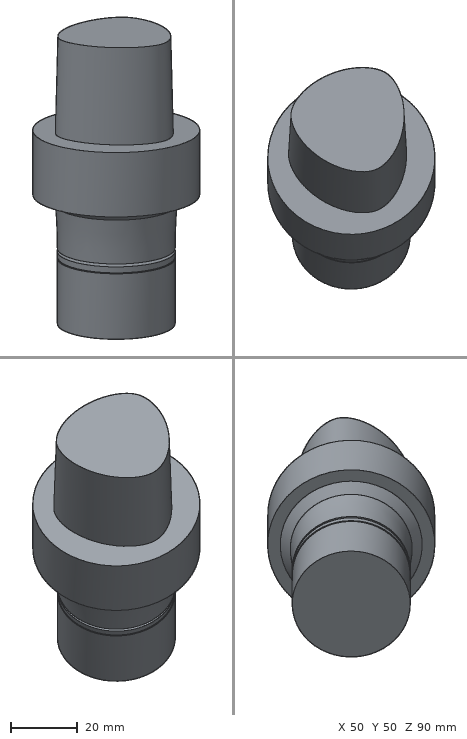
import cadquery as cq
import math

TOTAL_HEIGHT = 90.0
COLLAR_TOP = 60.0
COLLAR_BOTTOM = 40.05
CONE_BOTTOM = 37.2
GROOVE_TOP = 23.4
GROOVE_BOTTOM = 22.5
LINE_GROOVE_TOP = 20.6
LINE_GROOVE_BOTTOM = 20.3

COLLAR_DIAMETER = 49.95
CONE_TOP_DIAMETER = 42.4
NECK_TOP_DIAMETER = 36.45
NECK_MIDDLE_DIAMETER = 35.55
BASE_DIAMETER = 35.3
LINE_GROOVE_DIAMETER = 35.0
GROOVE_DIAMETER = 27.4

SHANK_WIDTH = 35.3
SHANK_TAPER = 1 / 20
LOBE_OFFSET = 1.2
LOBES = 3
OUTLINE_POINTS = 48

NECK_MIDDLE = (CONE_BOTTOM + GROOVE_TOP) / 2
SHANK_LENGTH = TOTAL_HEIGHT - COLLAR_TOP
SHANK_TIP_WIDTH = SHANK_WIDTH - SHANK_TAPER * SHANK_LENGTH


def make_body():
    """Revolve the round base, grooved neck and collar."""
    return (
        cq.Workplane("XZ")
        .moveTo(0, 0)
        .lineTo(BASE_DIAMETER / 2, 0)
        .lineTo(BASE_DIAMETER / 2, LINE_GROOVE_BOTTOM)
        .lineTo(LINE_GROOVE_DIAMETER / 2, LINE_GROOVE_BOTTOM)
        .lineTo(LINE_GROOVE_DIAMETER / 2, LINE_GROOVE_TOP)
        .lineTo(BASE_DIAMETER / 2, LINE_GROOVE_TOP)
        .lineTo(BASE_DIAMETER / 2, GROOVE_BOTTOM)
        .lineTo(GROOVE_DIAMETER / 2, GROOVE_BOTTOM)
        .lineTo(GROOVE_DIAMETER / 2, GROOVE_TOP)
        .lineTo(BASE_DIAMETER / 2, GROOVE_TOP)
        .threePointArc((NECK_MIDDLE_DIAMETER / 2, NECK_MIDDLE), (NECK_TOP_DIAMETER / 2, CONE_BOTTOM))
        .lineTo(CONE_TOP_DIAMETER / 2, COLLAR_BOTTOM)
        .lineTo(COLLAR_DIAMETER / 2, COLLAR_BOTTOM)
        .lineTo(COLLAR_DIAMETER / 2, COLLAR_TOP)
        .lineTo(0, COLLAR_TOP)
        .close()
        .revolve(360, (0, 0), (0, 1))
    )


def lobed_point(width, index):
    """Point whose tangent lies width / 2 + LOBE_OFFSET * cos(3 * angle) from the axis."""
    angle = 2 * math.pi * index / OUTLINE_POINTS
    distance = width / 2 + LOBE_OFFSET * math.cos(LOBES * angle)
    slope = -LOBES * LOBE_OFFSET * math.sin(LOBES * angle)
    along_lobe = distance * math.cos(angle) - slope * math.sin(angle)
    across_lobe = distance * math.sin(angle) + slope * math.cos(angle)
    return across_lobe, -along_lobe


def lobed_outline(width):
    return [lobed_point(width, index) for index in range(OUTLINE_POINTS)]


def make_shank():
    """Loft the tapered three-lobed shank upward from the collar."""
    return (
        cq.Workplane("XY", origin=(0, 0, COLLAR_TOP))
        .spline(lobed_outline(SHANK_WIDTH), periodic=True)
        .close()
        .workplane(offset=SHANK_LENGTH)
        .spline(lobed_outline(SHANK_TIP_WIDTH), periodic=True)
        .close()
        .loft(ruled=True)
    )


result = make_body().union(make_shank())